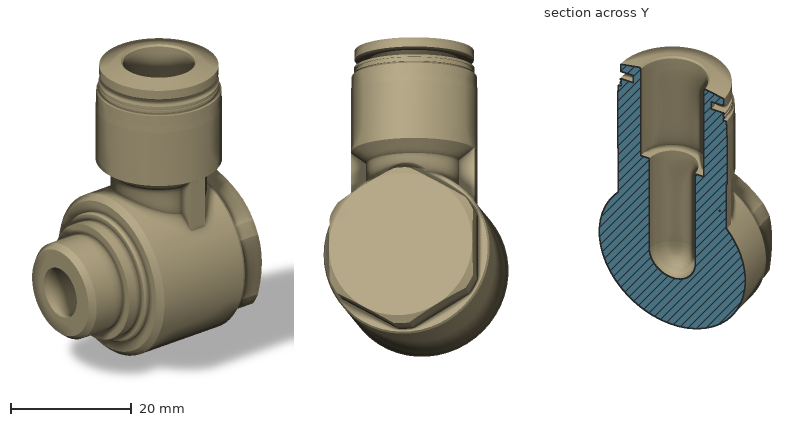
import cadquery as cq
import math

LENGTH_Z = 50.4
barrel_diameter = 28.0
barrel_radius = barrel_diameter / 2
top_z = LENGTH_Z - barrel_radius

barrel_back_y = 7.25
barrel_front_y = -11.0
barrel_back_chamfer = 0.45
barrel_back_chamfer_radial = 0.25
barrel_front_chamfer = 0.95
washer_diameter = 22.4
washer_front_y = -11.9
washer_chamfer = 0.25
collar_diameter = 20.0
collar_front_y = -14.3
thread_diameter = 16.7
thread_tip_diameter = 15.0
thread_front_y = -20.9
thread_chamfer = 1.0

hex_across_flats = 24.2
hex_corner_diameter = 26.55
hex_back_y = 12.2
hex_chamfer = 0.8

neck_diameter = 16.0
neck_top_z = 16.5
neck_overhang_z = 14.9
socket_diameter = 21.0
socket_bottom_z = 18.45
socket_taper_z = 28.25
socket_top_z = 31.3
socket_top_diameter = 20.75
ring_diameter = 20.0
ring_groove_diameter = 19.65
ring_top_z = 32.8
ring_height = 0.4
ring_gap = 0.3
sleeve_diameter = 15.0
release_diameter = 19.8
release_bottom_z = 34.15
release_edge_z = 35.75
mouth_diameter = 12.6
tube_diameter = 12.0
mouth_chamfer = (mouth_diameter - tube_diameter) / 2

rib_thickness = 2.95
rib_span = math.sqrt(socket_diameter**2 - rib_thickness**2)
rib_bottom_z = 9.25
passage_diameter = 8.7


def revolve_about_y(points):
    """Solid of revolution from (radius, y) points."""
    return cq.Workplane("XY").polyline(points).close().revolve(360, (0, 0), (0, 1))


def revolve_about_z(points):
    """Solid of revolution from (radius, z) points."""
    return cq.Workplane("XZ").polyline(points).close().revolve(360, (0, 0), (0, 1))


def cylinder_y(diameter, start_y, end_y):
    return cq.Workplane("XZ", origin=(0, start_y, 0)).circle(diameter / 2).extrude(start_y - end_y)


def cylinder_z(diameter, start_z, end_z):
    return cq.Workplane("XY", origin=(0, 0, start_z)).circle(diameter / 2).extrude(end_z - start_z)


def make_barrel():
    return revolve_about_y([
        (0, barrel_back_y),
        (barrel_radius - barrel_back_chamfer_radial, barrel_back_y),
        (barrel_radius, barrel_back_y - barrel_back_chamfer),
        (barrel_radius, barrel_front_y + barrel_front_chamfer),
        (barrel_radius - barrel_front_chamfer, barrel_front_y),
        (washer_diameter / 2, barrel_front_y),
        (washer_diameter / 2, washer_front_y + washer_chamfer),
        (washer_diameter / 2 - washer_chamfer, washer_front_y),
        (collar_diameter / 2, washer_front_y),
        (collar_diameter / 2, collar_front_y),
        (thread_diameter / 2, collar_front_y),
        (thread_diameter / 2, thread_front_y + thread_chamfer),
        (thread_tip_diameter / 2, thread_front_y),
        (0, thread_front_y),
    ])


def make_hex_head():
    """Hexagon with corners on the Z axis, rounded off and chamfered by a turned envelope."""
    hexagon = (
        cq.Workplane("XZ", origin=(0, hex_back_y, 0))
        .polygon(6, hex_across_flats, circumscribed=True)
        .extrude(hex_back_y)
    )
    envelope = revolve_about_y([
        (0, 0),
        (hex_corner_diameter / 2, 0),
        (hex_corner_diameter / 2, hex_back_y - hex_chamfer),
        (hex_across_flats / 2, hex_back_y),
        (0, hex_back_y),
    ])
    return hexagon.intersect(envelope)


def make_neck_relief():
    """Space behind the barrel, below the sloped underside of the overhanging neck."""
    overhang = neck_diameter / 2 - barrel_back_y
    return revolve_about_y([
        (0, barrel_back_y),
        (neck_overhang_z - overhang, barrel_back_y),
        (neck_overhang_z, neck_diameter / 2),
        (neck_overhang_z, hex_back_y),
        (0, hex_back_y),
    ])


def make_socket():
    body = revolve_about_z([
        (0, 0),
        (neck_diameter / 2, 0),
        (neck_diameter / 2, neck_top_z),
        (socket_diameter / 2, socket_bottom_z),
        (socket_diameter / 2, socket_taper_z),
        (socket_top_diameter / 2, socket_top_z),
        (0, socket_top_z),
    ])
    body = body.cut(make_neck_relief())
    lower_ring_top_z = ring_top_z - ring_height - ring_gap
    body = body.union(cylinder_z(ring_groove_diameter, socket_top_z, ring_top_z))
    for ring_z in (ring_top_z, lower_ring_top_z):
        body = body.union(cylinder_z(ring_diameter, ring_z - ring_height, ring_z))
    release_button = revolve_about_z([
        (0, ring_top_z),
        (sleeve_diameter / 2, ring_top_z),
        (sleeve_diameter / 2, release_bottom_z),
        (release_diameter / 2, release_bottom_z),
        (release_diameter / 2, release_edge_z),
        (mouth_diameter / 2, top_z),
        (0, top_z),
    ])
    return body.union(release_button)


def make_ribs():
    return cq.Workplane("XY", origin=(0, 0, rib_bottom_z)).rect(rib_span, rib_thickness).extrude(
        socket_bottom_z - rib_bottom_z
    )


def make_passage():
    """Elbow-shaped bore with a spherical corner, opening into the tube seat."""
    tube_seat = revolve_about_z([
        (0, socket_bottom_z),
        (tube_diameter / 2, socket_bottom_z),
        (tube_diameter / 2, top_z - mouth_chamfer),
        (mouth_diameter / 2, top_z),
        (0, top_z),
    ])
    corner = cq.Workplane("XY").sphere(passage_diameter / 2)
    riser = cylinder_z(passage_diameter, 0, socket_bottom_z)
    inlet = cylinder_y(passage_diameter, 0, thread_front_y)
    return riser.union(inlet).union(corner).union(tube_seat)


outside = make_barrel().union(make_hex_head()).union(make_socket()).union(make_ribs())
result = outside.cut(make_passage())